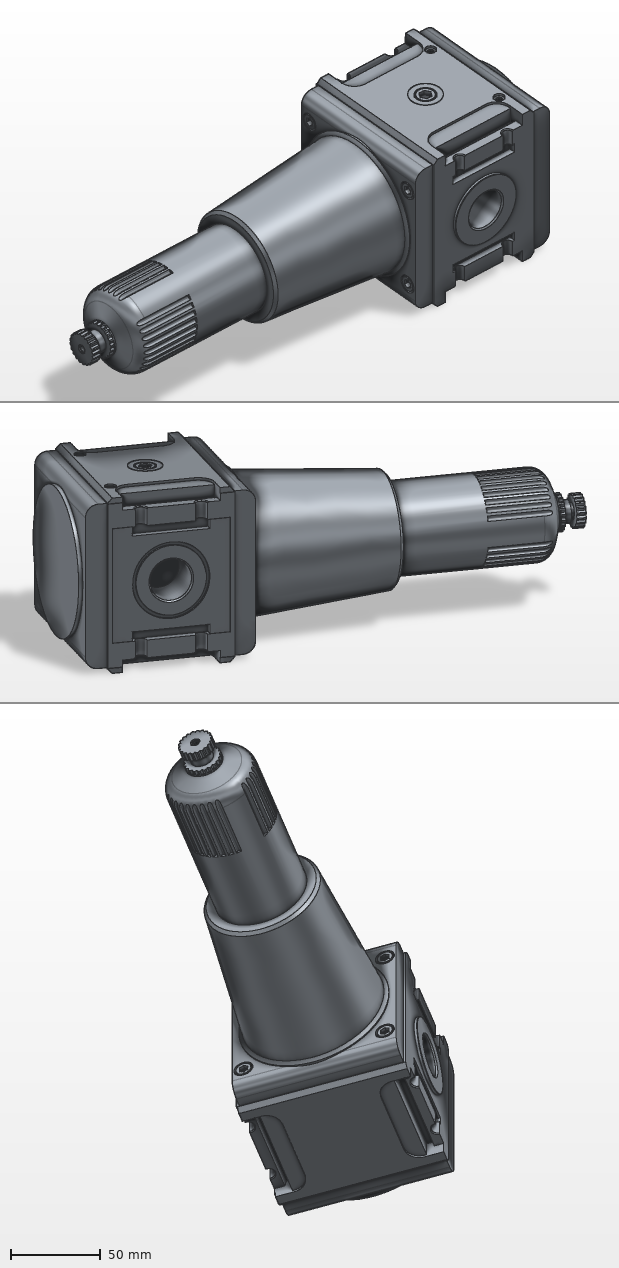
import cadquery as cq
import math


CORE_HALF_X = 48.5
CORE_HALF_Y = 49.5
CORE_HALF_Z = 48.5
CORE_FILLET = 7.3
BAND_HALF_X = 49.5
BAND_HALF_Y = 37.0
BAND_HEIGHT = 103.0
BAND_HALF_Z = BAND_HEIGHT / 2
BAND_CHAMFER = 2.8
PLATE_FACE_X = -50.2
END_DISC_DIAMETER = 87.0
END_DISC_Y = 52.0

NOTCH_HALF_Y = 28.5
NOTCH_FLOOR_Z = 44.0
NOTCH_INNER_X = 39.5
LIP_INNER_X = 44.0
LIP_FOOT_X = 43.0
HOOK_FLOOR_Z = 40.5
RELIEF_INNER_X = 29.0
RELIEF_DEPTH = 1.5
RELIEF_RADIUS = 9.2

GROOVE_DIAMETER = 6.7
GROOVE_MOUTH_DIAMETER = 8.0
GROOVE_SPACING = 35.2
POCKET_HALF_Y = 22.5
POCKET_INNER_Z = 28.0
POCKET_DEPTH = 4.0
PANEL_HALF_Y = 34.3
PANEL_HALF_Z = 33.7
PANEL_DEPTH = 0.3

PORT_DIAMETER = 24.2
PORT_CHAMFER = 1.0
PORT_DEPTH = 24.5
SEAL_OUTER_DIAMETER = 45.0
SEAL_INNER_DIAMETER = 41.0
SEAL_DEPTH = 1.5
SPIGOT_FACE_X = 51.5
SPIGOT_CHAMFER = 0.3

SCREW_X = 41.5
SCREW_Z = 32.7
SCREW_HOLE_DIAMETER = 11.0
SCREW_HEAD_DIAMETER = 9.0
SCREW_SOCKET_WIDTH = 5.0
SCREW_DEPTH = 3.0
PLUG_SEAT_DIAMETER = 20.0
PLUG_SEAT_DEPTH = 0.3
PLUG_HOLE_DIAMETER = 13.0
PLUG_DIAMETER = 11.0
PLUG_SOCKET_WIDTH = 6.7
PLUG_DEPTH = 3.0
VENT_X = 29.0
VENT_Y = 29.0
VENT_DIAMETER = 4.0
VENT_COUNTERBORE_DIAMETER = 6.7
VENT_COUNTERBORE_DEPTH = 1.5
VENT_DEPTH = 6.0

SEAT_DEPTH = 3.0
FLANGE_DIAMETER = 88.5
FLANGE_RIM_Y = -50.2
FLANGE_END_Y = -51.7
CONE_BASE_RADIUS = 42.0
CONE_TIP_RADIUS = 34.3
CONE_END_Y = -140.5
CONE_EDGE = 1.8
TUBE_RADIUS = 27.0
TUBE_END_Y = -224.5
DOME_RADIUS = 10.0
DOME_TURN = math.radians(68)
RING_START_Y = -238.0
RING_END_Y = -241.7
RING_DIAMETER = 22.0
RING_COLLAR = 1.0
NECK_DIAMETER = 13.5
NECK_END_Y = -246.3
STEM_DIAMETER = 9.8
KNOB_START_Y = -248.5
KNOB_END_Y = -254.0
KNOB_DIAMETER = 20.0
DRAIN_MOUTH_DIAMETER = 5.5
DRAIN_MOUTH_DEPTH = 1.0
DRAIN_DIAMETER = 4.0
DRAIN_DEPTH = 4.5
KNURL_COUNT = 20
KNURL_FILL = 0.8
KNURL_DEPTH = 1.0

GRIP_GROUPS = 3
GRIP_PER_GROUP = 9
GRIP_PITCH = 10
GRIP_RADIUS = 1.5
GRIP_START_Y = -192.0
GRIP_END_Y = -232.5

CLEARANCE = 3.0
SIGNS = (-1, 1)


def box(x_range, y_range, z_range):
    """Axis-aligned box between pairs of coordinates."""
    size = [high - low for low, high in (x_range, y_range, z_range)]
    corner = (x_range[0], y_range[0], z_range[0])
    return cq.Workplane("XY").box(*size, centered=False).translate(corner)


def disc(diameter, start, end, axis):
    """Cylinder along a principal axis through the origin, between two coordinates."""
    start_point = cq.Vector(*axis) * start
    direction = cq.Vector(*axis) * (1 if end > start else -1)
    solid = cq.Solid.makeCylinder(diameter / 2, abs(end - start), start_point, direction)
    return cq.Workplane(obj=solid)


X_AXIS = (1, 0, 0)
Y_AXIS = (0, 1, 0)
Z_AXIS = (0, 0, 1)


def head_blank():
    core = cq.Workplane("XY").box(2 * CORE_HALF_X, 2 * CORE_HALF_Y, 2 * CORE_HALF_Z)
    core = core.edges("|X").fillet(CORE_FILLET)
    band = cq.Workplane("XY").box(2 * BAND_HALF_X, 2 * BAND_HALF_Y, 2 * BAND_HALF_Z)
    band = band.edges("|X").chamfer(BAND_CHAMFER)
    plate = box((PLATE_FACE_X, 0), (-BAND_HALF_Y, BAND_HALF_Y), (-CORE_HALF_Z, CORE_HALF_Z))
    end_disc = disc(END_DISC_DIAMETER, 0, END_DISC_Y, Y_AXIS)
    spigot = disc(SEAL_OUTER_DIAMETER, 0, SPIGOT_FACE_X, X_AXIS).edges(">X").chamfer(SPIGOT_CHAMFER)
    return core.union(band).union(plate).union(end_disc).union(spigot)


def clamp_notch():
    """Cutter for the upper +X edge: notch with a hook groove behind its lip, and a shallow relief."""
    outer_x = BAND_HALF_X + CLEARANCE
    relief_z = BAND_HALF_Z - RELIEF_DEPTH
    notch = (
        cq.Workplane("XZ", origin=(0, NOTCH_HALF_Y, 0))
        .moveTo(outer_x, NOTCH_FLOOR_Z)
        .lineTo(LIP_INNER_X, NOTCH_FLOOR_Z)
        .lineTo(LIP_FOOT_X, HOOK_FLOOR_Z)
        .lineTo(NOTCH_INNER_X, HOOK_FLOOR_Z)
        .lineTo(NOTCH_INNER_X, BAND_HALF_Z)
        .lineTo(outer_x, BAND_HALF_Z)
        .close()
        .extrude(2 * NOTCH_HALF_Y)
    )
    relief = box((RELIEF_INNER_X, outer_x), (-NOTCH_HALF_Y, NOTCH_HALF_Y), (relief_z, BAND_HALF_Z))
    relief = relief.edges("|Z and <X").fillet(RELIEF_RADIUS)
    return notch.union(relief)


def clamp_groove():
    """Cutter for one half-round groove, flared where it opens into the notch floor."""
    groove_radius = GROOVE_DIAMETER / 2
    mouth_radius = GROOVE_MOUTH_DIAMETER / 2
    flare = mouth_radius - groove_radius
    return (
        cq.Workplane("XZ")
        .moveTo(0, PANEL_HALF_Z)
        .lineTo(groove_radius, PANEL_HALF_Z)
        .lineTo(groove_radius, NOTCH_FLOOR_Z - flare)
        .lineTo(mouth_radius, NOTCH_FLOOR_Z)
        .lineTo(0, NOTCH_FLOOR_Z)
        .close()
        .revolve(360, (0, 0), (0, 1))
    )


def clamp_grooves():
    """Cutter for the upper +X side: a pocket and two grooves that run into it."""
    cutter = box(
        (BAND_HALF_X - POCKET_DEPTH, BAND_HALF_X + CLEARANCE),
        (-POCKET_HALF_Y, POCKET_HALF_Y),
        (POCKET_INNER_Z, PANEL_HALF_Z),
    )
    for side in SIGNS:
        cutter = cutter.union(clamp_groove().translate((BAND_HALF_X, side * GROOVE_SPACING / 2, 0)))
    return cutter


def cut_clamp_features(head):
    upper_right = clamp_notch().union(clamp_grooves())
    right = upper_right.union(upper_right.mirror("XY"))
    return head.cut(right).cut(right.mirror("YZ"))


def cut_ports(head):
    panel = box(
        (PLATE_FACE_X, PLATE_FACE_X + PANEL_DEPTH),
        (-PANEL_HALF_Y, PANEL_HALF_Y),
        (-PANEL_HALF_Z, PANEL_HALF_Z),
    )
    panel_x = PLATE_FACE_X + PANEL_DEPTH
    seal_groove = disc(SEAL_OUTER_DIAMETER, panel_x, panel_x + SEAL_DEPTH, X_AXIS)
    seal_groove = seal_groove.cut(disc(SEAL_INNER_DIAMETER, panel_x, panel_x + SEAL_DEPTH, X_AXIS))
    head = head.cut(panel).cut(seal_groove)
    for mouth_x, inward in ((panel_x, 1), (SPIGOT_FACE_X, -1)):
        bore = disc(PORT_DIAMETER, mouth_x, mouth_x + inward * PORT_DEPTH, X_AXIS)
        mouth = cq.Solid.makeCone(
            PORT_DIAMETER / 2 + PORT_CHAMFER,
            PORT_DIAMETER / 2,
            PORT_CHAMFER,
            cq.Vector(mouth_x, 0, 0),
            cq.Vector(inward, 0, 0),
        )
        head = head.cut(bore).cut(cq.Workplane(obj=mouth))
    return head


def fastener_cut(plane, points, hole_diameter, head_diameter, socket_width, depth):
    """Ring gap around a flush fastener head, with a hexagon socket in the head."""
    start = plane.pushPoints(points)
    gap = start.circle(hole_diameter / 2).circle(head_diameter / 2).extrude(-depth)
    hexagon = cq.Sketch().regularPolygon(socket_width / math.sqrt(3), 6)
    socket = start.placeSketch(hexagon).extrude(-depth)
    return gap.union(socket)


def cut_screws(head):
    front = cq.Workplane("XZ", origin=(0, -CORE_HALF_Y, 0))
    points = [(side * SCREW_X, level * SCREW_Z) for side in SIGNS for level in SIGNS]
    return head.cut(
        fastener_cut(
            front, points, SCREW_HOLE_DIAMETER, SCREW_HEAD_DIAMETER, SCREW_SOCKET_WIDTH, SCREW_DEPTH
        )
    )


def cut_top_plug(head):
    seat_z = BAND_HALF_Z - PLUG_SEAT_DEPTH
    seat = disc(PLUG_SEAT_DIAMETER, seat_z, BAND_HALF_Z, Z_AXIS)
    plug = fastener_cut(
        cq.Workplane("XY", origin=(0, 0, seat_z)),
        [(0, 0)],
        PLUG_HOLE_DIAMETER,
        PLUG_DIAMETER,
        PLUG_SOCKET_WIDTH,
        PLUG_DEPTH,
    )
    return head.cut(seat).cut(plug)


def cut_vents(head):
    steps = (
        (VENT_COUNTERBORE_DIAMETER, VENT_COUNTERBORE_DEPTH),
        (VENT_DIAMETER, VENT_DEPTH),
    )
    for side in SIGNS:
        for diameter, depth in steps:
            hole = disc(diameter, BAND_HALF_Z, BAND_HALF_Z - depth, Z_AXIS)
            head = head.cut(hole.translate((side * VENT_X, VENT_Y, 0)))
    return head


def make_head(bowl):
    head = head_blank()
    head = cut_clamp_features(head)
    head = cut_ports(head)
    head = cut_screws(head)
    head = cut_top_plug(head)
    head = cut_vents(head)
    return head.cut(bowl)


def bowl_blank():
    flange_radius = FLANGE_DIAMETER / 2
    ring_radius = RING_DIAMETER / 2
    neck_radius = NECK_DIAMETER / 2
    stem_radius = STEM_DIAMETER / 2
    knob_radius = KNOB_DIAMETER / 2
    dome_centre_radius = TUBE_RADIUS - DOME_RADIUS

    def dome_point(turn):
        return (
            dome_centre_radius + DOME_RADIUS * math.cos(turn),
            TUBE_END_Y - DOME_RADIUS * math.sin(turn),
        )

    return (
        cq.Workplane("XY")
        .moveTo(0, SEAT_DEPTH - CORE_HALF_Y)
        .lineTo(flange_radius, SEAT_DEPTH - CORE_HALF_Y)
        .lineTo(flange_radius, FLANGE_RIM_Y)
        .lineTo(CONE_BASE_RADIUS, FLANGE_END_Y)
        .lineTo(CONE_TIP_RADIUS, CONE_END_Y + CONE_EDGE)
        .lineTo(CONE_TIP_RADIUS - CONE_EDGE, CONE_END_Y)
        .lineTo(TUBE_RADIUS, CONE_END_Y)
        .lineTo(TUBE_RADIUS, TUBE_END_Y)
        .threePointArc(dome_point(DOME_TURN / 2), dome_point(DOME_TURN))
        .lineTo(ring_radius, RING_START_Y)
        .lineTo(ring_radius, RING_END_Y)
        .lineTo(neck_radius, RING_END_Y)
        .lineTo(neck_radius, NECK_END_Y)
        .lineTo(stem_radius, NECK_END_Y)
        .lineTo(stem_radius, KNOB_START_Y)
        .lineTo(knob_radius, KNOB_START_Y)
        .lineTo(knob_radius, KNOB_END_Y)
        .lineTo(0, KNOB_END_Y)
        .close()
        .revolve(360, (0, 0), (0, 1))
    )


def grip_grooves():
    """Half-round grooves parallel to the bowl axis, in groups with plain stretches between."""
    groove = disc(2 * GRIP_RADIUS, GRIP_END_Y, GRIP_START_Y, Y_AXIS).translate((TUBE_RADIUS, 0, 0))
    middle = (GRIP_PER_GROUP - 1) / 2
    grooves = []
    for group in range(GRIP_GROUPS):
        for place in range(GRIP_PER_GROUP):
            angle = group * 360 / GRIP_GROUPS + (place - middle) * GRIP_PITCH
            grooves.append(groove.rotate((0, 0, 0), Y_AXIS, angle).val())
    return cq.Compound.makeCompound(grooves)


def knurl(diameter, start_y, end_y):
    """V-notches around a knurled rim, cut by diamond-shaped bars centred on the rim."""
    radius = diameter / 2
    half_width = math.pi * radius / KNURL_COUNT * KNURL_FILL
    notch = (
        cq.Workplane("XZ", origin=(0, start_y, 0))
        .moveTo(radius - KNURL_DEPTH, 0)
        .lineTo(radius, -half_width)
        .lineTo(radius + KNURL_DEPTH, 0)
        .lineTo(radius, half_width)
        .close()
        .extrude(start_y - end_y)
    )
    step = 360 / KNURL_COUNT
    notches = [notch.rotate((0, 0, 0), Y_AXIS, place * step).val() for place in range(KNURL_COUNT)]
    return cq.Compound.makeCompound(notches)


def make_bowl():
    drain = disc(DRAIN_DIAMETER, KNOB_END_Y, KNOB_END_Y + DRAIN_DEPTH, Y_AXIS)
    mouth = disc(DRAIN_MOUTH_DIAMETER, KNOB_END_Y, KNOB_END_Y + DRAIN_MOUTH_DEPTH, Y_AXIS)
    return (
        bowl_blank()
        .cut(cq.Workplane(obj=grip_grooves()))
        .cut(cq.Workplane(obj=knurl(RING_DIAMETER, RING_START_Y - RING_COLLAR, RING_END_Y)))
        .cut(cq.Workplane(obj=knurl(KNOB_DIAMETER, KNOB_START_Y, KNOB_END_Y)))
        .cut(drain)
        .cut(mouth)
    )


bowl = make_bowl()
head = make_head(bowl)
result = cq.Compound.makeCompound([head.val(), bowl.val()])